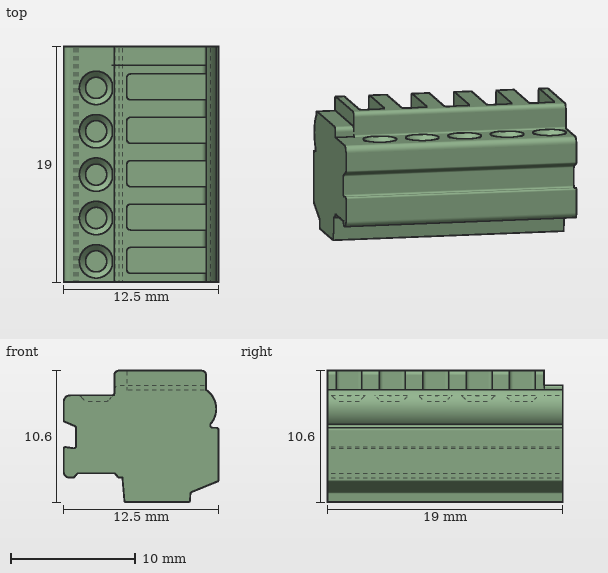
import cadquery as cq
import math

DEPTH = 12.5
LENGTH = 19.0
HEIGHT = 10.6
POLE_COUNT = 5
POLE_PITCH = 3.5
MAIN_LENGTH = POLE_COUNT * POLE_PITCH

UPPER_LEFT = 4.08
UPPER_RIGHT = 11.5
UPPER_ROUND = 0.38
CAP_TOP = 9.42
CAP_RIGHT_ROUND = 0.2

SHELF_TOP = 8.6
SHELF_ROUND = 0.53
SHELF_FILLET = 0.15

GROOVE_DEPTH = 0.99
GROOVE_TOP_OUTER = 6.5
GROOVE_TOP_INNER = 6.08
GROOVE_BOTTOM_OUTER = 4.46
GROOVE_BOTTOM_INNER = 4.31

UNDERSIDE = 1.95
UNDERSIDE_ROUND = 0.48
RECESS_TOP = 2.3
RECESS_START = 0.82
RECESS_END = 4.43
RECESS_RUN = 0.3
FOOT_LEFT_TOP = 4.73
FOOT_LEFT = 4.9
FOOT_RIGHT = 10.18
FOOT_RIGHT_TOP = 10.25
FOOT_ROUND = 0.1
SLOPE_LOW = 0.76
SLOPE_HIGH = 1.7

LOWER_RIGHT_TOP = 6.0
LOWER_RIGHT_ROUND = 0.23
NOTCH_X = 11.84
SHOULDER_Z = 9.05
BUMP_CREST = (12.31, 7.56)
BUMP_END = (11.84, 6.27)
EDGE_ROUND = 0.15

HOLE_X = 2.62
HOLE_FIRST_Y = 1.67
HOLE_TOP_RADIUS = 1.35
HOLE_FLOOR_RADIUS = 0.85
HOLE_DEPTH = HOLE_TOP_RADIUS - HOLE_FLOOR_RADIUS

POCKET_LEFT = 5.1
POCKET_WIDTH = 2.09
POCKET_ROUND = 0.3


def pole_positions(first_y):
    return [first_y + i * POLE_PITCH for i in range(POLE_COUNT)]


def rounded_outline(corners):
    """Closed XZ outline from (x, z, radius) corners; radius 0 keeps a corner sharp."""
    path = None
    for i, (x, z, radius) in enumerate(corners):
        before = cq.Vector(*corners[i - 1][:2])
        after = cq.Vector(*corners[(i + 1) % len(corners)][:2])
        corner = cq.Vector(x, z)
        to_before = (before - corner).normalized()
        to_after = (after - corner).normalized()
        half_angle = to_before.getAngle(to_after) / 2
        tangent = radius / math.tan(half_angle)
        start = corner + to_before * tangent
        if path is None:
            path = cq.Workplane("XZ").moveTo(start.x, start.y)
        else:
            path = path.lineTo(start.x, start.y)
        if radius > 0:
            bisector = (to_before + to_after).normalized()
            middle = corner + bisector * (radius / math.sin(half_angle) - radius)
            end = corner + to_after * tangent
            path = path.threePointArc((middle.x, middle.y), (end.x, end.y))
    return path.close()


def housing_section(y_start, y_end, top, right_round, shelf_fillet):
    """Stretch of the housing between two Y positions, with its own top height."""
    corners = [
        (0, SHELF_TOP, SHELF_ROUND),
        (UPPER_LEFT, SHELF_TOP, shelf_fillet),
        (UPPER_LEFT, top, UPPER_ROUND),
        (UPPER_RIGHT, top, right_round),
        (UPPER_RIGHT, BUMP_CREST[1], 0),
        (NOTCH_X, BUMP_CREST[1], 0),
        (NOTCH_X, LOWER_RIGHT_TOP, EDGE_ROUND),
        (DEPTH, LOWER_RIGHT_TOP, LOWER_RIGHT_ROUND),
        (DEPTH, SLOPE_HIGH, EDGE_ROUND),
        (FOOT_RIGHT_TOP, SLOPE_LOW, EDGE_ROUND),
        (FOOT_RIGHT, 0, FOOT_ROUND),
        (FOOT_LEFT, 0, FOOT_ROUND),
        (FOOT_LEFT_TOP, UNDERSIDE, 0),
        (RECESS_END, UNDERSIDE, 0),
        (RECESS_END - RECESS_RUN, RECESS_TOP, 0),
        (RECESS_START + RECESS_RUN, RECESS_TOP, 0),
        (RECESS_START, UNDERSIDE, 0),
        (0, UNDERSIDE, UNDERSIDE_ROUND),
        (0, GROOVE_BOTTOM_OUTER, EDGE_ROUND),
        (GROOVE_DEPTH, GROOVE_BOTTOM_INNER, EDGE_ROUND),
        (GROOVE_DEPTH, GROOVE_TOP_INNER, EDGE_ROUND),
        (0, GROOVE_TOP_OUTER, EDGE_ROUND),
    ]
    length = y_end - y_start
    return rounded_outline(corners).extrude(-length).translate((0, y_start, 0))


def bump():
    return (
        cq.Workplane("XZ")
        .moveTo(UPPER_RIGHT, SHOULDER_Z)
        .threePointArc(BUMP_CREST, BUMP_END)
        .lineTo(UPPER_RIGHT, BUMP_END[1])
        .close()
        .extrude(-LENGTH)
    )


def screw_hole(y):
    floor_centre = cq.Vector(HOLE_X, y, SHELF_TOP - HOLE_DEPTH)
    cone = cq.Solid.makeCone(HOLE_FLOOR_RADIUS, HOLE_TOP_RADIUS, HOLE_DEPTH, pnt=floor_centre)
    room = cq.Workplane("XY").box(UPPER_LEFT - SHELF_FILLET, LENGTH, HEIGHT, centered=False)
    return room.intersect(cq.Workplane(cone))


def pocket(y):
    length = DEPTH - POCKET_LEFT
    return (
        cq.Workplane("XY", origin=(POCKET_LEFT + length / 2, y, SHOULDER_Z))
        .rect(length, POCKET_WIDTH)
        .extrude(HEIGHT - SHOULDER_Z)
        .edges("|Z and <X")
        .fillet(POCKET_ROUND)
    )


main_body = housing_section(0, MAIN_LENGTH, HEIGHT, UPPER_ROUND, SHELF_FILLET)
end_cap = housing_section(MAIN_LENGTH, LENGTH, CAP_TOP, CAP_RIGHT_ROUND, 0)
result = main_body.union(end_cap).union(bump())

for hole_y in pole_positions(HOLE_FIRST_Y):
    result = result.cut(screw_hole(hole_y))

for pocket_y in pole_positions(POLE_PITCH / 2):
    result = result.cut(pocket(pocket_y))

result = result.clean()